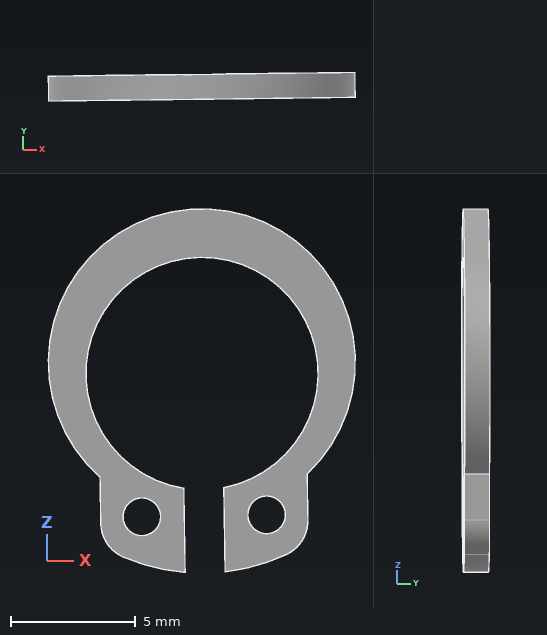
import cadquery as cq
import math

thickness = 1.0
bore_diameter = 9.3
rim_diameter = 12.3
rim_offset = 0.45

lug_span = 8.3
lug_end_radius = 8.0
lug_corner_radius = 1.5
gap_width = 1.6
plier_hole_diameter = 1.5
plier_hole_spacing = 5.0
plier_hole_drop = 5.7

roll = 0.9
pitch = 0.06
yaw = 0.7


def back_face():
    """Workplane on the +Y face of the ring; extruding from it runs toward -Y."""
    return cq.Workplane("XZ", origin=(0, thickness / 2, 0))


def disc(diameter, x=0, z=0):
    """Disc in the XZ plane, as thick as the ring and centred on Y = 0."""
    return back_face().center(x, z).circle(diameter / 2).extrude(thickness)


def lug_blank():
    """Both lugs in one piece: straight sides, rounded corners, arc end about the bore axis."""
    side_x = lug_span / 2
    corner_x = side_x - lug_corner_radius
    corner_reach = lug_end_radius - lug_corner_radius
    corner_z = -math.sqrt(corner_reach**2 - corner_x**2)
    end_x = corner_x * lug_end_radius / corner_reach
    end_z = corner_z * lug_end_radius / corner_reach
    middle_angle = math.atan2(corner_z, corner_x) / 2
    middle_x = corner_x + lug_corner_radius * math.cos(middle_angle)
    middle_z = corner_z + lug_corner_radius * math.sin(middle_angle)
    return (
        back_face()
        .moveTo(-side_x, 0)
        .lineTo(-side_x, corner_z)
        .threePointArc((-middle_x, middle_z), (-end_x, end_z))
        .threePointArc((0, -lug_end_radius), (end_x, end_z))
        .threePointArc((middle_x, middle_z), (side_x, corner_z))
        .lineTo(side_x, 0)
        .close()
        .extrude(thickness)
    )


def gap():
    """Slot between the lugs, open downwards from the bore."""
    return (
        back_face()
        .center(0, -lug_end_radius / 2)
        .rect(gap_width, lug_end_radius)
        .extrude(thickness)
    )


ring = disc(rim_diameter, z=rim_offset).union(lug_blank())
ring = ring.cut(disc(bore_diameter)).cut(gap())
for side in (-1, 1):
    hole_x = side * plier_hole_spacing / 2
    ring = ring.cut(disc(plier_hole_diameter, hole_x, -plier_hole_drop))

origin = (0, 0, 0)
result = (
    ring.rotate(origin, (0, -1, 0), roll)
    .rotate(origin, (1, 0, 0), pitch)
    .rotate(origin, (0, 0, 1), yaw)
)